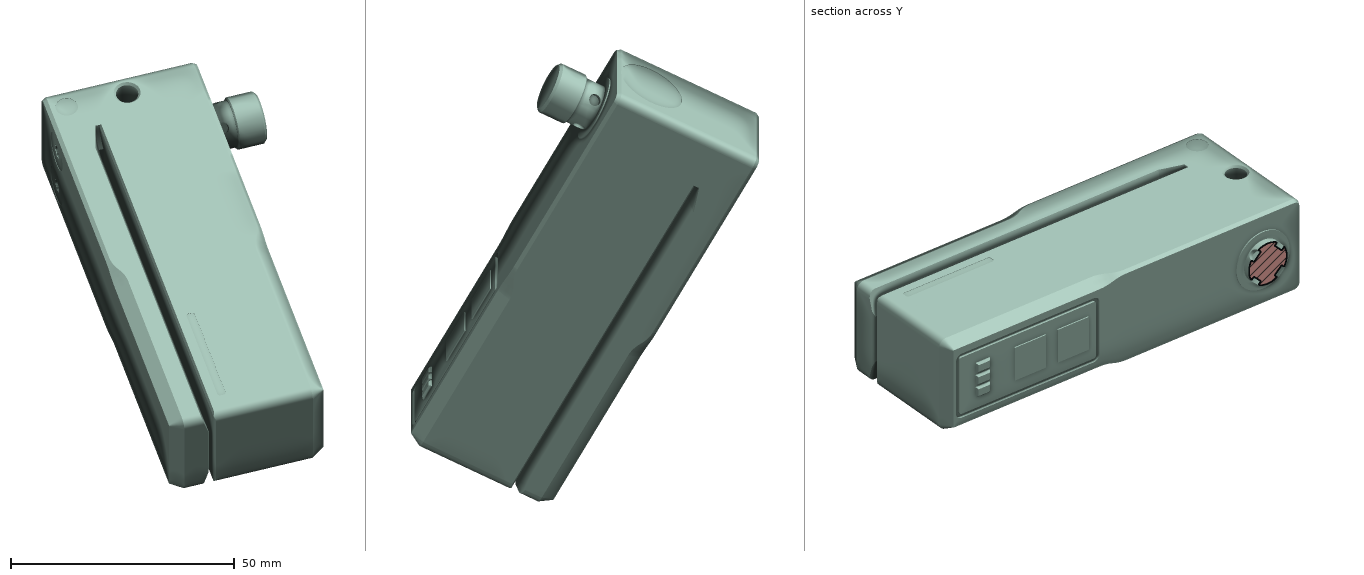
import cadquery as cq
import math


LENGTH = 100.0
DEPTH = 36.0
HEIGHT = 24.0
MID_Z = HEIGHT / 2
END_RADIUS = 2.0
OVERCUT = 5.0
MARK_DEPTH = 0.1

WIDE_BEVEL_Y = 3.0
WIDE_BEVEL_SIDE = 1.75
NARROW_BEVEL_Y = 0.9
NARROW_BEVEL_SIDE = NARROW_BEVEL_Y * WIDE_BEVEL_SIDE / WIDE_BEVEL_Y
RAMP_START = 49.4
RAMP_END = 57.0

GAP_NEAR_Y = 9.0
GAP_FAR_Y = 10.0
GAP_END_X = 15.0
GAP_SCOOP_RADIUS = 6.0
SCOOP_X = 18.1
ARM_BEVEL_Y = 1.8
GAP_CHAMFER_Y = 0.4
GAP_CHAMFER_HEIGHT = 0.6
GAP_MOUTH_CHAMFER = 0.6

PIN_X = 5.0
PIN_Y = 4.5
PIN_DIAMETER = 5.0
HOLE_Y = 18.6
HOLE_DEPTH = 10.0
HOLE_SINK = 0.5
WINDOW_CENTER = (82.2, 13.5)
WINDOW_SIZE = (24.6, 1.9)
WINDOW_CORNER = 0.6

SCREW_X = 12.0
SCREW_SPACING = 12.0
SCREW_HEAD_DIAMETER = 9.0
LOBES = 6
LOBE_CIRCLE_RADIUS = 1.3
LOBE_RADIUS = 0.4
SOCKET_CORE_RADIUS = 1.35
SOCKET_DEPTH = 1.5

PLUG_Y = 27.5
PLUG_DIAMETER = 15.4

CONNECTOR_X = 11.0
CONNECTOR_LENGTH = 11.8
FLANGE_DIAMETER = 15.0
FLANGE_THICKNESS = 0.3
NECK_DIAMETER = 10.8
NUT_DIAMETER = 12.0
NUT_LENGTH = 6.8
NUT_TIP_CHAMFER = 0.6
NUT_BACK_CHAMFER = 0.3
SPANNER_HOLES = 4
SPANNER_HOLE_DIAMETER = 2.7
SPANNER_HOLE_DEPTH = 1.2
SPANNER_HOLE_RISE = 2.0

LABEL_START = 57.0
LABEL_END = 97.5
LABEL_HEIGHT = 17.0
LABEL_CORNER = 1.6
LABEL_GROOVE_WIDTH = 1.0
LABEL_GROOVE_DEPTH = 0.6
BUTTON_CENTERS_X = (64.6, 76.7)
BUTTON_SIZE = 8.7
BUTTON_RISE = 0.3
LED_X = 90.1
LED_SIZE = (3.9, 2.6)
LED_PITCH = 3.2
LED_RISE = 0.7
LED_CHAMFER = 0.4


def box(x0, x1, y0, y1, z0, z1):
    return cq.Workplane("XY").box(x1 - x0, y1 - y0, z1 - z0, centered=False).translate((x0, y0, z0))


def back_plane(x, z, y=DEPTH):
    """Sketch plane parallel to the back face, extruding towards +Y."""
    return cq.Workplane(cq.Plane(origin=(x, y, z), xDir=(-1, 0, 0), normal=(0, 1, 0)))


def mirror_z(shape):
    return shape.mirror("XY", (0, 0, MID_Z))


def beveled_block(bevel_y, bevel_side):
    """Block with rounded Y edges and a bevel around its front and back faces."""
    block = box(0, LENGTH, 0, DEPTH, 0, HEIGHT).edges("|Y").fillet(END_RADIUS)
    for face in ("<Y", ">Y"):
        block = block.faces(face).edges().chamfer(bevel_side, bevel_y)
    return block


def corner_depth(bevel_y, bevel_side):
    """Distance from the sharp edge to the bevel plane."""
    return bevel_y * bevel_side / math.hypot(bevel_y, bevel_side)


def ramp_cutter():
    """S-curved tool that widens the narrow bevel of the upper front edge to the wide one."""
    start_depth = corner_depth(NARROW_BEVEL_Y, NARROW_BEVEL_SIDE)
    end_depth = corner_depth(WIDE_BEVEL_Y, WIDE_BEVEL_SIDE)
    along_bevel = cq.Plane(
        origin=(0, 0, HEIGHT), xDir=(1, 0, 0), normal=(0, WIDE_BEVEL_Y, WIDE_BEVEL_SIDE)
    )
    return (
        cq.Workplane(along_bevel)
        .moveTo(RAMP_START - OVERCUT, start_depth)
        .lineTo(RAMP_START, start_depth)
        .tangentArcPoint(((RAMP_START + RAMP_END) / 2, (start_depth + end_depth) / 2), relative=False)
        .tangentArcPoint((RAMP_END, end_depth), relative=False)
        .lineTo(RAMP_END, -OVERCUT)
        .lineTo(RAMP_START - OVERCUT, -OVERCUT)
        .close()
        .extrude(OVERCUT, both=True)
    )


def body():
    """Outer block: narrow bevels on the closed half, wide bevels on the fork half."""
    closed_half = beveled_block(NARROW_BEVEL_Y, NARROW_BEVEL_SIDE)
    closed_half = closed_half.intersect(box(0, RAMP_END, 0, DEPTH, 0, HEIGHT))
    front_top = ramp_cutter()
    back_top = front_top.mirror("XZ", (0, DEPTH / 2, 0))
    for cutter in (front_top, back_top):
        closed_half = closed_half.cut(cutter).cut(mirror_z(cutter))
    fork_half = beveled_block(WIDE_BEVEL_Y, WIDE_BEVEL_SIDE)
    fork_half = fork_half.intersect(box(RAMP_END, LENGTH, 0, DEPTH, 0, HEIGHT))
    return closed_half.union(fork_half)


def gap_cutter():
    """Through gap between the arms, scooped out at its closed end above and below."""
    gap = box(GAP_END_X, LENGTH + OVERCUT, GAP_NEAR_Y, GAP_FAR_Y, -OVERCUT, HEIGHT + OVERCUT)
    scoop = (
        cq.Workplane("XZ", origin=(SCOOP_X, GAP_NEAR_Y, HEIGHT))
        .circle(GAP_SCOOP_RADIUS)
        .extrude(GAP_NEAR_Y - GAP_FAR_Y)
    )
    return gap.union(scoop).union(mirror_z(scoop))


def arm_bevel_cutter():
    """Upper bevel of the thin arm, ending in a cone around the scoop axis."""
    bevel = (
        cq.Workplane("YZ", origin=(SCOOP_X, 0, 0))
        .moveTo(GAP_NEAR_Y - ARM_BEVEL_Y, HEIGHT)
        .lineTo(GAP_NEAR_Y, HEIGHT - GAP_SCOOP_RADIUS)
        .lineTo(GAP_NEAR_Y, HEIGHT)
        .close()
        .extrude(LENGTH - SCOOP_X)
    )
    cone = cq.Workplane(
        cq.Solid.makeCone(
            GAP_SCOOP_RADIUS,
            0,
            ARM_BEVEL_Y,
            pnt=cq.Vector(SCOOP_X, GAP_NEAR_Y, HEIGHT),
            dir=cq.Vector(0, -1, 0),
        )
    )
    return bevel.union(cone)


def gap_edge_cutter():
    """Small chamfer of the thick arm along the upper edge of the gap."""
    return (
        cq.Workplane("YZ", origin=(SCOOP_X - GAP_SCOOP_RADIUS, 0, 0))
        .moveTo(GAP_FAR_Y, HEIGHT)
        .lineTo(GAP_FAR_Y + GAP_CHAMFER_Y, HEIGHT)
        .lineTo(GAP_FAR_Y, HEIGHT - GAP_CHAMFER_HEIGHT)
        .close()
        .extrude(LENGTH)
    )


def gap_mouth_cutter():
    """Chamfers both vertical edges where the gap opens on the end face."""
    return (
        cq.Workplane("XY", origin=(0, 0, -OVERCUT))
        .polyline([
            (LENGTH - GAP_MOUTH_CHAMFER, GAP_NEAR_Y),
            (LENGTH, GAP_NEAR_Y - GAP_CHAMFER_Y),
            (LENGTH, GAP_FAR_Y + GAP_CHAMFER_Y),
            (LENGTH - GAP_MOUTH_CHAMFER, GAP_FAR_Y),
        ])
        .close()
        .extrude(HEIGHT + 2 * OVERCUT)
    )


def cut_fork(part):
    part = part.cut(gap_cutter()).cut(gap_mouth_cutter())
    for cutter in (arm_bevel_cutter(), gap_edge_cutter()):
        part = part.cut(cutter).cut(mirror_z(cutter))
    return part


def cut_top_details(part):
    """Countersunk hole, flush pin and flush window in the top face."""
    top = cq.Workplane("XY", origin=(0, 0, HEIGHT))
    pin = top.center(PIN_X, PIN_Y).circle(PIN_DIAMETER / 2).extrude(-MARK_DEPTH)
    window = (
        top.center(*WINDOW_CENTER)
        .rect(*WINDOW_SIZE)
        .extrude(-MARK_DEPTH)
        .edges("|Z")
        .fillet(WINDOW_CORNER)
    )
    hole = top.center(PIN_X, HOLE_Y).circle(PIN_DIAMETER / 2).extrude(-HOLE_DEPTH)
    sink = (
        top.center(PIN_X, HOLE_Y)
        .circle(PIN_DIAMETER / 2 + HOLE_SINK)
        .workplane(offset=-HOLE_SINK)
        .circle(PIN_DIAMETER / 2)
        .loft()
    )
    return part.cut(pin).cut(window).cut(hole).cut(sink)


def cut_screws(part):
    """Flush screw heads with six-lobed sockets."""
    for z in (MID_Z - SCREW_SPACING / 2, MID_Z + SCREW_SPACING / 2):
        face = cq.Workplane("XZ", origin=(SCREW_X, 0, z))
        head = face.circle(SCREW_HEAD_DIAMETER / 2).extrude(-MARK_DEPTH)
        socket = face.circle(SOCKET_CORE_RADIUS).extrude(-SOCKET_DEPTH)
        lobes = (
            face.polarArray(LOBE_CIRCLE_RADIUS, 90, 360, LOBES)
            .circle(LOBE_RADIUS)
            .extrude(-SOCKET_DEPTH)
        )
        part = part.cut(head).cut(socket).cut(lobes)
    return part


def cut_plug(part):
    plug = cq.Workplane("YZ", origin=(0, PLUG_Y, MID_Z)).circle(PLUG_DIAMETER / 2).extrude(MARK_DEPTH)
    return part.cut(plug)


def connector():
    """Round plug connector: flange, neck with spanner holes, and nut."""
    base = back_plane(CONNECTOR_X, MID_Z)
    flange = base.circle(FLANGE_DIAMETER / 2).extrude(FLANGE_THICKNESS)
    neck = base.circle(NECK_DIAMETER / 2).extrude(CONNECTOR_LENGTH - NUT_LENGTH)
    nut = (
        back_plane(CONNECTOR_X, MID_Z, DEPTH + CONNECTOR_LENGTH - NUT_LENGTH)
        .circle(NUT_DIAMETER / 2)
        .extrude(NUT_LENGTH)
        .faces(">Y")
        .chamfer(NUT_TIP_CHAMFER)
        .faces("<Y")
        .chamfer(NUT_BACK_CHAMFER)
    )
    for i in range(SPANNER_HOLES):
        angle = (i + 0.5) * 360 / SPANNER_HOLES
        drill = (
            cq.Workplane("XY", origin=(0, 0, NECK_DIAMETER / 2 - SPANNER_HOLE_DEPTH))
            .circle(SPANNER_HOLE_DIAMETER / 2)
            .extrude(SPANNER_HOLE_DEPTH + OVERCUT)
            .rotate((0, 0, 0), (0, 1, 0), angle)
            .translate((CONNECTOR_X, DEPTH + SPANNER_HOLE_RISE, MID_Z))
        )
        neck = neck.cut(drill)
    return flange.union(neck).union(nut)


def label_groove():
    """Rounded rectangular groove framing the label panel."""
    length = LABEL_END - LABEL_START
    base = back_plane((LABEL_START + LABEL_END) / 2, MID_Z)
    outer = base.rect(length, LABEL_HEIGHT).extrude(-LABEL_GROOVE_DEPTH).edges("|Y").fillet(LABEL_CORNER)
    inner = (
        base.rect(length - 2 * LABEL_GROOVE_WIDTH, LABEL_HEIGHT - 2 * LABEL_GROOVE_WIDTH)
        .extrude(-LABEL_GROOVE_DEPTH)
        .edges("|Y")
        .fillet(LABEL_CORNER - LABEL_GROOVE_WIDTH)
    )
    return outer.cut(inner)


def add_label_parts(part):
    """Two square buttons and a column of three indicator lights."""
    for x in BUTTON_CENTERS_X:
        part = part.union(back_plane(x, MID_Z).rect(BUTTON_SIZE, BUTTON_SIZE).extrude(BUTTON_RISE))
    for row in (-1, 0, 1):
        led = back_plane(LED_X, MID_Z + row * LED_PITCH).rect(*LED_SIZE).extrude(LED_RISE)
        part = part.union(led.faces(">Y").edges().chamfer(LED_CHAMFER))
    return part


result = cut_fork(body())
result = cut_top_details(result)
result = cut_screws(result)
result = cut_plug(result)
result = result.cut(label_groove())
result = add_label_parts(result)
result = result.union(connector())